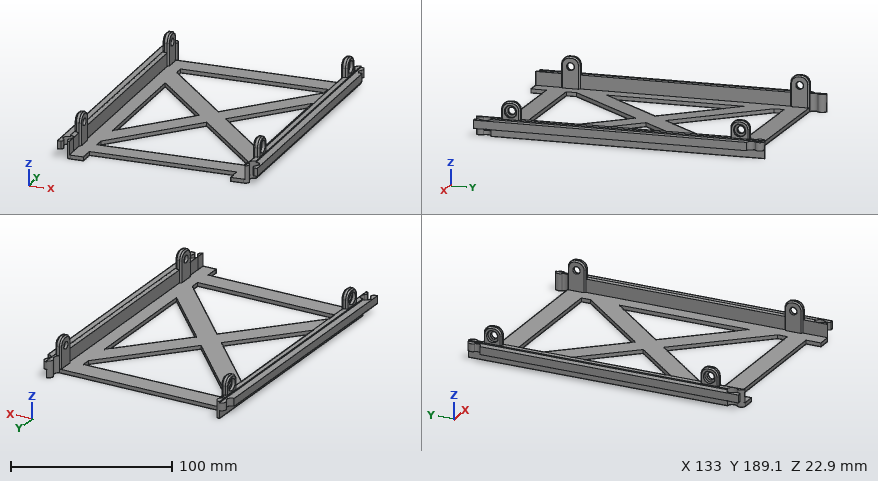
import cadquery as cq
import math

half_width = 66.5
length = 189.1
front_end = -length / 2
back_end = length / 2
peg_length = 10.2
body_back = back_end - peg_length

plate_thickness = 2.6
window_half_width = 49.0
window_front = -71.3
window_back = 70.7
brace_center_y = -0.2
brace_rise = 54.7
brace_width = 13.2

wall_outer = 61.8
wall_thickness = 3.4
wall_inner = wall_outer - wall_thickness
wall_height = 11.5
shelf_bottom = 5.5
shelf_top = 10.8

peg_radius = 3.0
socket_clearance = 0.28
shelf_gap = 0.5

tab_inner = 57.3
tab_outer = 61.5
tab_width = 12.3
tab_height = 22.9
tab_corner_radius = 5.3
tab_bevel_depth = 1.1
tab_bevel_width = 0.85
tab_hole_z = 16.6
tab_hole_diameter = 5.0
tab_counterbore_diameter = 8.0
tab_counterbore_depth = 2.0
tab_spacing = 149.5
back_tab_y = body_back - tab_width / 2
tab_positions = (back_tab_y, back_tab_y - tab_spacing)


def block(x_range, y_range, z_range):
    """Axis-aligned box spanning the given coordinate ranges."""
    lows, highs = zip(x_range, y_range, z_range)
    sizes = [high - low for low, high in zip(lows, highs)]
    return cq.Workplane("XY").box(*sizes, centered=False).translate(lows)


def snap_peg(edge_y, clearance):
    """Wall-high peg: a round head and a neck flaring into edge_y, grown by a clearance."""
    head_radius = peg_radius + clearance
    flare_radius = peg_radius - clearance
    center_distance = head_radius + flare_radius
    head_y = edge_y + peg_length - peg_radius
    flare_y = edge_y + flare_radius
    lean = math.asin((head_y - flare_y) / center_distance)
    flare_x = center_distance * math.cos(lean)

    def on_flare(side, angle):
        return (
            wall_outer + side * (flare_x - flare_radius * math.cos(angle)),
            flare_y + flare_radius * math.sin(angle),
        )

    return (
        cq.Workplane("XY")
        .moveTo(*on_flare(-1, -math.pi / 2))
        .threePointArc(on_flare(-1, 0), on_flare(-1, lean))
        .threePointArc((wall_outer, head_y + head_radius), on_flare(1, lean))
        .threePointArc(on_flare(1, 0), on_flare(1, -math.pi / 2))
        .close()
        .extrude(wall_height)
    )


def base_plate():
    plate = block((-wall_outer, wall_outer), (front_end, body_back), (0, plate_thickness))
    window_x = (-window_half_width, window_half_width)
    window = block(window_x, (window_front, window_back), (0, plate_thickness))
    front_notch = block(window_x, (front_end, front_end + peg_length), (0, plate_thickness))

    brace_angle = math.degrees(math.atan2(brace_rise, window_half_width))
    for angle in (brace_angle, -brace_angle):
        brace = (
            cq.Workplane("XY")
            .center(0, brace_center_y)
            .transformed(rotate=(0, 0, angle))
            .rect(length, brace_width)
            .extrude(plate_thickness)
        )
        window = window.cut(brace)
    return plate.cut(window).cut(front_notch)


def rail():
    """Right-hand wall and shelf, ending in a peg at the back."""
    full_length = (front_end, back_end)
    section = block((wall_inner, wall_outer), full_length, (0, wall_height)).union(
        block((wall_outer, half_width), full_length, (shelf_bottom, shelf_top))
    )
    outline = block((wall_inner, half_width), (front_end, body_back), (0, wall_height)).union(
        snap_peg(body_back, 0)
    )
    return section.intersect(outline)


def socket():
    """Clearance for the peg of the next frame and for the end of its shelf."""
    end_gap = block(
        (wall_outer, half_width), (front_end, front_end + shelf_gap), (shelf_bottom, shelf_top)
    )
    return snap_peg(front_end, socket_clearance).union(end_gap)


def tab_profile(center_y, x, inset):
    """Arched tab outline at the given x, drawn in by the inset at its sides and top."""
    half = tab_width / 2 - inset
    radius = tab_corner_radius - inset
    crest = half - radius
    top_z = tab_height - inset
    shoulder_z = top_z - radius
    arc_y = crest + radius * math.sqrt(0.5)
    arc_z = shoulder_z + radius * math.sqrt(0.5)
    outline = (
        cq.Workplane("YZ", origin=(x, center_y, 0))
        .moveTo(half, 0)
        .lineTo(half, shoulder_z)
        .threePointArc((arc_y, arc_z), (crest, top_z))
        .lineTo(-crest, top_z)
        .threePointArc((-arc_y, arc_z), (-half, shoulder_z))
        .lineTo(-half, 0)
        .close()
    )
    return outline.val()


def tab(center_y):
    """Hinge tab on the right-hand rail, with bevelled edges, counterbored from outside."""
    sections = [
        tab_profile(center_y, tab_inner, tab_bevel_width),
        tab_profile(center_y, tab_inner + tab_bevel_depth, 0),
        tab_profile(center_y, tab_outer - tab_bevel_depth, 0),
        tab_profile(center_y, tab_outer, tab_bevel_width),
    ]
    body = cq.Workplane(cq.Solid.makeLoft(sections, True))
    outer_face = cq.Workplane("YZ", origin=(tab_outer, center_y, tab_hole_z))
    hole = outer_face.circle(tab_hole_diameter / 2).extrude(tab_inner - tab_outer)
    counterbore = outer_face.circle(tab_counterbore_diameter / 2).extrude(-tab_counterbore_depth)
    return body.cut(hole).cut(counterbore)


side = rail()
for position in tab_positions:
    side = side.union(tab(position))

frame = base_plate().union(side).union(side.mirror("YZ"))
frame = frame.cut(socket()).cut(socket().mirror("YZ"))
result = frame.solids()